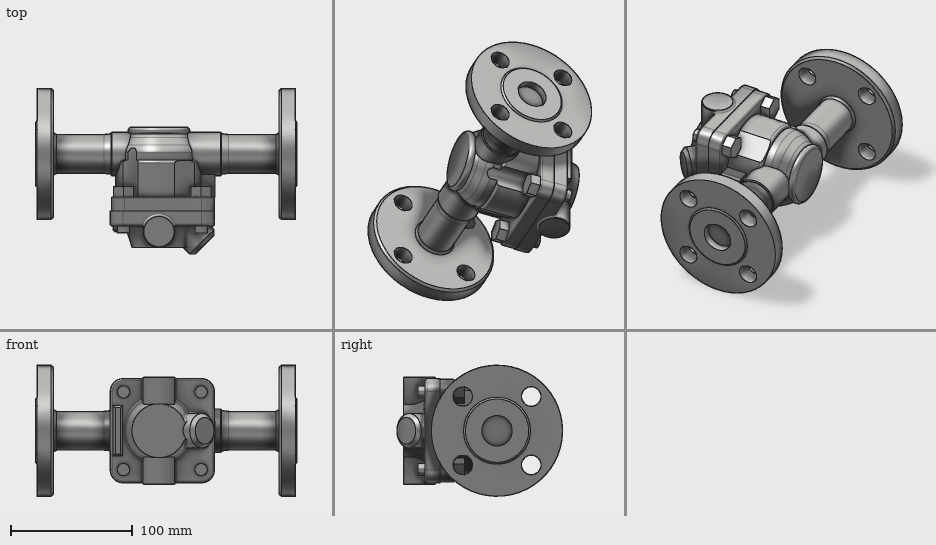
import cadquery as cq
import math

LENGTH = 215.0
FLANGE_RADIUS = 108.0 / 2
FLANGE_BACK = 92.7
FLANGE_CHAMFER = 2.0
RAISED_FACE_RADIUS = 26.0
RAISED_FACE_ROOT_RADIUS = 27.5
RAISED_FACE_HEIGHT = 1.3
BORE_DIAMETER = 25.0
BORE_DEPTH = 6.9
BOLT_HOLE_DIAMETER = 16.0
BOLT_HOLE_CIRCLE_RADIUS = 39.8
BOLT_HOLE_COUNT = 4
PIPE_RADIUS = 32.0 / 2
PIPE_ROOT_RADIUS = 17.5
PIPE_ROOT_LENGTH = 2.5
COLLAR_RADIUS = 36.0 / 2
COLLAR_HALF_LENGTH = 45.5
COLLAR_EDGE = 0.9
WELD_RADIUS = 16.8
WELD_LENGTH = 5.8

BODY_X = -6.0
CAP_Y = 22.1
CAP_RADIUS = 25.4
CAP_EDGE = 2.5
CAP_UNDERSIDE_Y = 16.5
NECK_TOP_RADIUS = 24.3
CONE_TOP_Y = 13.5
CONE_TOP_RADIUS = 26.5
CONE_LOW_Y = 7.5
CONE_LOW_RADIUS = 30.0
NECK_LOW_Y = 1.5
NECK_RADIUS = 32.7
SHOULDER_Y = -5.0
SHOULDER_EDGE = 2.5
BARREL_RADIUS = 35.7
SCALLOP_RADIUS = 11.8
FLAT_ANGLE = 52
FLAT_DISTANCE = 34.2

LUG_X = 40.2
LUG_TOP_Y = -17.0
LUG_HALF_WIDTH = 9.5
LUG_EDGE = 3.2

COVER_X = -3.2
BODY_FLANGE_SIDE = 84.7
COVER_SIDE = 85.8
BODY_FLANGE_X = -2.8
CORNER_RADIUS = 10.8
BODY_FLANGE_Y = -35.3
JOINT_Y = -46.9
COVER_Y = -59.1
BODY_FLANGE_EDGE = 1.0
COVER_EDGE = 1.7

BOLT_OFFSET = 63.9 / 2
BOLT_DIAMETER = 10.0
BOLT_END_Y = -65.0
NUT_FLATS = 16.5
NUT_TOP_Y = -26.9

DOME_Y = -77.0
DOME_BASE_RADIUS = 28.2
DOME_TOP_RADIUS = 22.1
PORT_RADIUS = 13.1
PORT_END_Z = 44.3
PORT_CHAMFER = 0.6
BOSS_FACE_X = 31.5
BOSS_FACE_Y = -74.5
BOSS_RADIUS = 14.2
BOSS_LENGTH = 34.5
BOSS_CHAMFER = 3.2
COVER_BLEND = 1.7

BAR_X_MIN = -43.6
BAR_X_MAX = -36.0
BAR_HALF_LENGTH = 20.9
BAR_Y = -64.3
BAR_CHAMFER = 1.7


def plane_facing_minus_y(x, y):
    """Work plane at height y whose normal is -Y; local x is X and local y is Z."""
    return cq.Workplane("XZ", origin=(x, y, 0))


def flanged_pipe():
    """+X half of the pipe line with its flange, turned about the X axis."""
    end = LENGTH / 2
    face = end - RAISED_FACE_HEIGHT
    profile = [
        (0, 0),
        (0, COLLAR_RADIUS),
        (COLLAR_HALF_LENGTH - COLLAR_EDGE, COLLAR_RADIUS),
        (COLLAR_HALF_LENGTH, COLLAR_RADIUS - COLLAR_EDGE),
        (COLLAR_HALF_LENGTH, WELD_RADIUS),
        (COLLAR_HALF_LENGTH + WELD_LENGTH, PIPE_RADIUS),
        (FLANGE_BACK - PIPE_ROOT_LENGTH, PIPE_RADIUS),
        (FLANGE_BACK, PIPE_ROOT_RADIUS),
        (FLANGE_BACK, FLANGE_RADIUS - FLANGE_CHAMFER),
        (FLANGE_BACK + FLANGE_CHAMFER, FLANGE_RADIUS),
        (face, FLANGE_RADIUS),
        (face, RAISED_FACE_ROOT_RADIUS),
        (end, RAISED_FACE_RADIUS),
        (end, 0),
    ]
    half = cq.Workplane("XY").polyline(profile).close().revolve(360, (0, 0, 0), (1, 0, 0))
    end_plane = cq.Workplane("YZ", origin=(end, 0, 0))
    bore = end_plane.circle(BORE_DIAMETER / 2).extrude(-BORE_DEPTH)
    holes = (
        end_plane.polarArray(BOLT_HOLE_CIRCLE_RADIUS, 45, 360, BOLT_HOLE_COUNT)
        .circle(BOLT_HOLE_DIAMETER / 2)
        .extrude(FLANGE_BACK - end)
    )
    return half.cut(bore).cut(holes)


def turned_body():
    """Cap, neck, shoulder and barrel as one turned shape."""
    return (
        cq.Workplane("XY", origin=(BODY_X, 0, 0))
        .moveTo(0, CAP_Y)
        .lineTo(CAP_RADIUS - CAP_EDGE, CAP_Y)
        .threePointArc((CAP_RADIUS, CAP_Y - CAP_EDGE), (NECK_TOP_RADIUS, CAP_UNDERSIDE_Y))
        .lineTo(CONE_TOP_RADIUS, CONE_TOP_Y)
        .lineTo(CONE_LOW_RADIUS, CONE_LOW_Y)
        .tangentArcPoint((NECK_RADIUS, NECK_LOW_Y), relative=False)
        .lineTo(NECK_RADIUS, SHOULDER_Y)
        .lineTo(BARREL_RADIUS - SHOULDER_EDGE, SHOULDER_Y)
        .radiusArc((BARREL_RADIUS, SHOULDER_Y - SHOULDER_EDGE), SHOULDER_EDGE)
        .lineTo(BARREL_RADIUS, BODY_FLANGE_Y)
        .lineTo(0, BODY_FLANGE_Y)
        .close()
        .revolve(360, (0, 0, 0), (0, 1, 0))
    )


def body():
    """Turned body with clearance grooves on the -X side and flats on the +X side."""
    length = CAP_Y - BODY_FLANGE_Y
    bolt_x = COVER_X - BOLT_OFFSET
    grooves = (
        plane_facing_minus_y(bolt_x, CAP_Y)
        .pushPoints([(0, BOLT_OFFSET), (0, -BOLT_OFFSET)])
        .circle(SCALLOP_RADIUS)
        .extrude(length)
    )
    shape = turned_body().cut(grooves)
    flat_depth = BARREL_RADIUS
    for angle in (FLAT_ANGLE, -FLAT_ANGLE):
        beyond_flat = (
            plane_facing_minus_y(0, CAP_Y)
            .center(FLAT_DISTANCE + flat_depth / 2, 0)
            .rect(flat_depth, 2 * BARREL_RADIUS)
            .extrude(length)
            .rotate((0, 0, 0), (0, 1, 0), -angle)
            .translate((BODY_X, 0, 0))
        )
        shape = shape.cut(beyond_flat)
    return shape


def side_lug():
    """Lug between the barrel and the body flange on the +X side."""
    width = LUG_X - BODY_X
    return (
        plane_facing_minus_y(BODY_X + width / 2, LUG_TOP_Y)
        .rect(width, 2 * LUG_HALF_WIDTH)
        .extrude(LUG_TOP_Y - BODY_FLANGE_Y)
        .edges("|Y and >X")
        .fillet(LUG_EDGE)
    )


def square_plate(center_x, side, back_y, front_y):
    """Square plate with round corners, lying between two Y positions."""
    plane = plane_facing_minus_y(center_x, back_y)
    return plane.rect(side, side).extrude(back_y - front_y).edges("|Y").fillet(CORNER_RADIUS)


def cover_with_dome():
    """Cover plate carrying the dome, the two ports and the angled strainer boss."""
    cover = square_plate(COVER_X, COVER_SIDE, JOINT_Y, COVER_Y).faces("<Y").edges().fillet(COVER_EDGE)
    dome = (
        plane_facing_minus_y(BODY_X, COVER_Y)
        .circle(DOME_BASE_RADIUS)
        .workplane(offset=COVER_Y - DOME_Y)
        .circle(DOME_TOP_RADIUS)
        .loft(ruled=True)
    )
    port_y = DOME_Y + PORT_RADIUS
    ports = (
        cq.Workplane("XY", origin=(BODY_X, port_y, -PORT_END_Z))
        .circle(PORT_RADIUS)
        .extrude(2 * PORT_END_Z)
        .faces("|Z")
        .chamfer(PORT_CHAMFER)
    )
    face_plane = cq.Plane(
        origin=(BOSS_FACE_X, BOSS_FACE_Y, 0), xDir=(0, 0, 1), normal=(1, -1, 0)
    )
    boss = cq.Workplane(face_plane).circle(BOSS_RADIUS).extrude(-BOSS_LENGTH)
    outward = cq.Vector(1, -1, 0)
    boss = boss.faces(cq.selectors.DirectionMinMaxSelector(outward)).chamfer(BOSS_CHAMFER)
    shape = cover.union(dome).union(ports).union(boss)

    reach = COVER_SIDE / 2 - 2 * COVER_EDGE
    gap = 0.1
    foot_edges = cq.selectors.BoxSelector(
        (COVER_X - reach, COVER_Y - gap, -reach), (COVER_X + reach, COVER_Y + gap, reach)
    )
    dome_edges = cq.selectors.BoxSelector(
        (BODY_X, DOME_Y + gap, -BOSS_RADIUS), (BODY_X + DOME_BASE_RADIUS, COVER_Y - gap, BOSS_RADIUS)
    )
    return shape.edges(foot_edges + dome_edges).fillet(COVER_BLEND)


def cover_bolts():
    """Four bolts through the cover with hexagon heads behind the body flange."""
    corners = [(x, z) for x in (-BOLT_OFFSET, BOLT_OFFSET) for z in (-BOLT_OFFSET, BOLT_OFFSET)]
    plane = plane_facing_minus_y(COVER_X, NUT_TOP_Y)
    shanks = plane.pushPoints(corners).circle(BOLT_DIAMETER / 2).extrude(NUT_TOP_Y - BOLT_END_Y)
    across_corners = NUT_FLATS / math.cos(math.radians(30))
    nut = (
        cq.Workplane("XZ")
        .polygon(6, across_corners)
        .extrude(NUT_TOP_Y - BODY_FLANGE_Y)
        .rotate((0, 0, 0), (0, 1, 0), 30)
    )
    bolts = shanks
    for x, z in corners:
        bolts = bolts.union(nut.translate((COVER_X + x, NUT_TOP_Y, z)))
    return bolts


def name_plate_bar():
    """Chamfered bar along Z on the cover face."""
    return (
        plane_facing_minus_y((BAR_X_MIN + BAR_X_MAX) / 2, COVER_Y)
        .rect(BAR_X_MAX - BAR_X_MIN, 2 * BAR_HALF_LENGTH)
        .extrude(COVER_Y - BAR_Y)
        .faces("<Y")
        .chamfer(BAR_CHAMFER)
    )


pipe = flanged_pipe()
body_flange = square_plate(BODY_FLANGE_X, BODY_FLANGE_SIDE, BODY_FLANGE_Y, JOINT_Y)
body_flange = body_flange.faces(">Y").edges().fillet(BODY_FLANGE_EDGE)

result = (
    pipe.union(pipe.mirror("YZ"))
    .union(body())
    .union(side_lug())
    .union(body_flange)
    .union(cover_with_dome())
    .union(cover_bolts())
    .union(name_plate_bar())
)